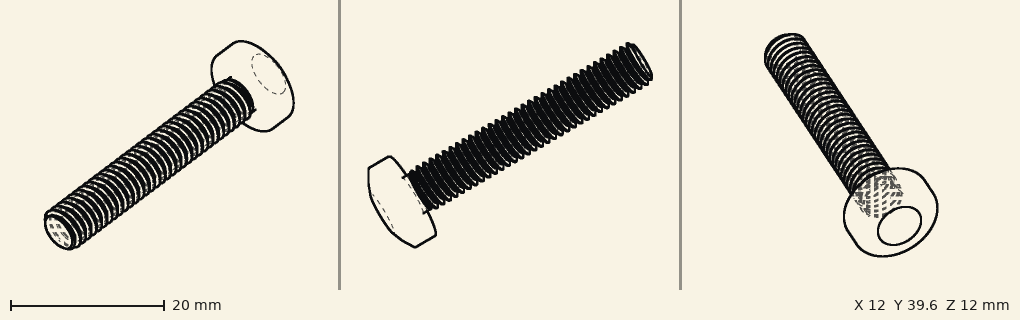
import cadquery as cq
import math


total_length = 39.6
head_height = 4.6
head_diameter = 12.0
head_radius = head_diameter / 2
dome_radius = 9.9
dome_flat_radius = 3.05
head_edge_fillet = 0.1

shank_length = total_length - head_height
collar_diameter = 5.35
collar_radius = collar_diameter / 2
collar_length = 1.1
seat_fillet = 0.15

major_diameter = head_diameter / 2
major_radius = major_diameter / 2
pitch = major_diameter / 6
flank_angle = math.radians(30)
crest_width = pitch / 8
root_width = pitch / 4
thread_depth = (pitch - crest_width - root_width) / 2 / math.tan(flank_angle)
root_radius = major_radius - thread_depth
ridge_overlap = 0.08
limit_clearance = 0.2
runout_length = 0.8


def make_head():
    """Cylinder with a spherical dome that is cut flat on top and both outer edges rounded."""
    dome_center_z = math.sqrt(dome_radius**2 - dome_flat_radius**2) - head_height

    def dome_point(angle):
        return (dome_radius * math.sin(angle), dome_center_z - dome_radius * math.cos(angle))

    rim_angle = math.asin(head_radius / dome_radius)
    flat_angle = math.asin(dome_flat_radius / dome_radius)
    profile = (
        cq.Workplane("XZ")
        .lineTo(head_radius, 0)
        .lineTo(*dome_point(rim_angle))
        .threePointArc(dome_point((rim_angle + flat_angle) / 2), dome_point(flat_angle))
        .lineTo(0, -head_height)
        .close()
    )
    head = profile.revolve(360, (0, 0), (0, 1))
    outer_edges = cq.selectors.RadiusNthSelector(1)
    return head.edges(outer_edges).fillet(head_edge_fillet)


def make_collar():
    """Plain neck below the head, flared into the seat by a concave fillet."""
    flare_radius = collar_radius + seat_fillet
    diagonal = seat_fillet * math.sqrt(0.5)
    profile = (
        cq.Workplane("XZ")
        .lineTo(flare_radius, 0)
        .threePointArc(
            (flare_radius - diagonal, seat_fillet - diagonal),
            (collar_radius, seat_fillet),
        )
        .lineTo(collar_radius, collar_length)
        .lineTo(0, collar_length)
        .close()
    )
    return profile.revolve(360, (0, 0), (0, 1))


def make_thread_limits():
    """Space the ridge may fill: a run-out cone at the collar and a 45 degree cone at the tip."""
    limit_radius = major_radius + limit_clearance
    runout_slope = runout_length / (major_radius - collar_radius)
    runout_end = collar_length + (limit_radius - collar_radius) * runout_slope
    profile = (
        cq.Workplane("XZ")
        .moveTo(0, collar_length)
        .lineTo(collar_radius, collar_length)
        .lineTo(limit_radius, runout_end)
        .lineTo(limit_radius, shank_length - (limit_radius - root_radius))
        .lineTo(root_radius, shank_length)
        .lineTo(0, shank_length)
        .close()
    )
    return profile.revolve(360, (0, 0), (0, 1))


def make_thread_ridge():
    """Helical ridge running past both ends of the thread, sunk slightly into the core."""
    turns = math.ceil(shank_length / pitch) + 1
    helix = cq.Wire.makeHelix(pitch, turns * pitch, root_radius)
    inner_radius = root_radius - ridge_overlap
    half_crest = crest_width / 2
    half_base = half_crest + (major_radius - inner_radius) * math.tan(flank_angle)
    section = cq.Workplane("XZ").polyline([
        (inner_radius, -half_base),
        (major_radius, -half_crest),
        (major_radius, half_crest),
        (inner_radius, half_base),
    ]).close()
    return section.sweep(cq.Workplane(helix), isFrenet=True)


core = cq.Workplane("XY").circle(root_radius).extrude(shank_length)
thread = make_thread_ridge().intersect(make_thread_limits())
neck_and_head = make_collar().union(make_head())
screw = core.union(thread).union(neck_and_head)

result = screw.rotate((0, 0, 0), (1, 0, 0), 90).solids()